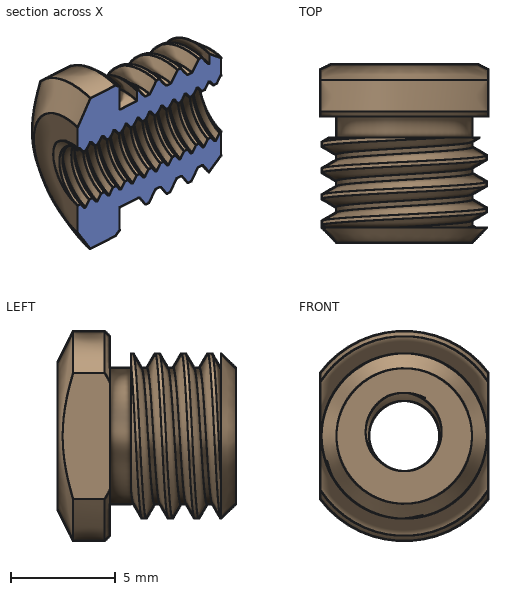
import cadquery as cq
import math


HEAD_DIAMETER = 10.0
HEAD_THICKNESS = 2.5
ACROSS_FLATS = 8.0
CROWN_DIAMETER = 7.0
CROWN_HEIGHT = 0.75
HEAD_CHAMFER = 0.25

SHANK_LENGTH = 6.0
CORE_DIAMETER = 6.5
NECK_LENGTH = 1.0
TIP_DIAMETER = 6.45
TIP_LENGTH = 0.73

OUTER_DIAMETER = 7.87
OUTER_PITCH = 1.25
OUTER_CREST_WIDTH = 0.2
CREST_ANGLE = 90.0

BORE_DIAMETER = 3.33
GROOVE_DIAMETER = 4.11
INNER_PITCH = 0.7
GROOVE_FLOOR_WIDTH = 0.053
GROOVE_ANGLE = 99.0

FLANK_ANGLE = 30.0
THREAD_OVERLAP = 0.08

tip_base = SHANK_LENGTH - TIP_LENGTH


def cylinder(diameter, bottom, top):
    return cq.Workplane("XY").workplane(offset=bottom).circle(diameter / 2).extrude(top - bottom)


def threaded_rod(core_diameter, end_diameter, end_width, pitch, start, start_angle, turns):
    """Rod along Z with a right-handed trapezoid ridge whose centre is at start_angle at height start.

    The plain core runs one pitch past both ends of the ridge.
    """
    inner = core_diameter / 2 - THREAD_OVERLAP
    outer = end_diameter / 2
    half_outer = end_width / 2
    half_inner = half_outer + (outer - inner) * math.tan(math.radians(FLANK_ANGLE))
    length = turns * pitch
    path = cq.Wire.makeHelix(pitch, length, core_diameter / 2)
    ridge = (
        cq.Workplane("XZ")
        .polyline([(inner, -half_inner), (outer, -half_outer), (outer, half_outer), (inner, half_inner)])
        .close()
        .sweep(cq.Workplane(path), isFrenet=True)
    )
    rod = cylinder(core_diameter, -pitch, length + pitch).union(ridge)
    return rod.rotate((0, 0, 0), (0, 0, 1), start_angle).translate((0, 0, start))


def make_head():
    radius = HEAD_DIAMETER / 2
    outline = [
        (0, -HEAD_THICKNESS),
        (CROWN_DIAMETER / 2, -HEAD_THICKNESS),
        (radius, CROWN_HEIGHT - HEAD_THICKNESS),
        (radius, -HEAD_CHAMFER),
        (radius - HEAD_CHAMFER, 0),
        (0, 0),
    ]
    turned = cq.Workplane("XZ").polyline(outline).close().revolve(360, (0, 0), (0, 1))
    flats = cq.Workplane("XY").box(ACROSS_FLATS, HEAD_DIAMETER, 2 * HEAD_THICKNESS)
    return turned.intersect(flats)


def make_tip():
    outline = [
        (0, tip_base),
        (OUTER_DIAMETER / 2, tip_base),
        (TIP_DIAMETER / 2, SHANK_LENGTH),
        (0, SHANK_LENGTH),
    ]
    return cq.Workplane("XZ").polyline(outline).close().revolve(360, (0, 0), (0, 1))


def make_threaded_stretch():
    """Core with its outer thread, cut off square at the neck and at the tip cone."""
    start = NECK_LENGTH - OUTER_PITCH
    turns = math.ceil((tip_base - start) / OUTER_PITCH) + 1
    rod = threaded_rod(
        CORE_DIAMETER, OUTER_DIAMETER, OUTER_CREST_WIDTH, OUTER_PITCH, start, CREST_ANGLE, turns
    )
    return rod.intersect(cylinder(HEAD_DIAMETER, NECK_LENGTH, tip_base))


def make_threaded_bore():
    """Bore with its thread groove, running out past both ends of the part."""
    turns = math.ceil((HEAD_THICKNESS + SHANK_LENGTH) / INNER_PITCH) + 2
    start = SHANK_LENGTH + INNER_PITCH - turns * INNER_PITCH
    return threaded_rod(
        BORE_DIAMETER, GROOVE_DIAMETER, GROOVE_FLOOR_WIDTH, INNER_PITCH, start, GROOVE_ANGLE, turns
    )


neck = cylinder(CORE_DIAMETER, 0, NECK_LENGTH)
body = make_head().union(neck).union(make_threaded_stretch()).union(make_tip())
body = body.cut(make_threaded_bore())

result = body.rotate((0, 0, 0), (1, 0, 0), 90)